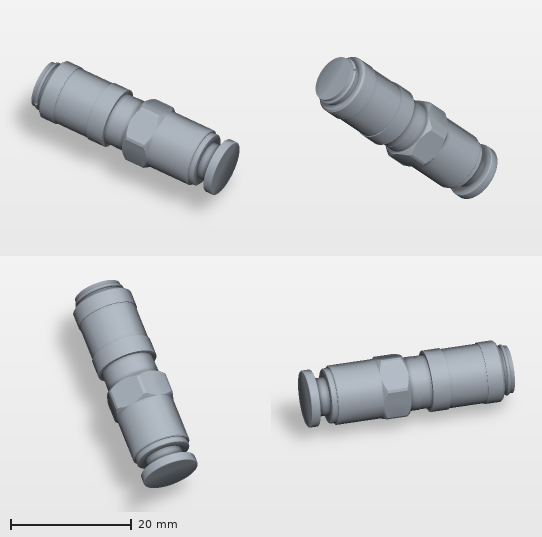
import cadquery as cq
import math

total_length = 35.05

spigot_d = 8.0
groove_d = 7.4
groove_start = 0.65
groove_end = 1.3

wire_d = 0.6
ring_center_x = groove_start + wire_d / 2
ring_gap = 0.3

sleeve_d = 10.35
sleeve_relief_d = 10.0
sleeve_chamfer = 0.3
sleeve_start = 1.95
relief_start = 4.87
relief_end = 11.32
sleeve_end = 14.25

neck_front_d = 8.9
neck_rear_d = 9.0
neck_step = 16.15

hex_across_flats = 10.0
hex_corner_d = 11.25
hex_end_d = 10.0
hex_tilt = -2.3
hex_start = 18.0
hex_end = 22.7
hex_chamfer = (hex_corner_d - hex_end_d) / 2

barrel_d = 10.0
barrel_chamfer = 0.15
barrel_end = 30.53
collar_d = 9.25
collar_chamfer = 0.1
collar_end = 31.47

stem_d = 6.4
flange_d = 9.6
flange_fillet = 0.18
flange_start = 33.5


def cylinder(diameter, start, end):
    """Cylinder on the X axis from start to end."""
    return cq.Workplane("YZ").workplane(offset=start).circle(diameter / 2).extrude(end - start)


def make_spigot():
    """Inlet spigot with a square groove that the snap ring sits in."""
    groove = cylinder(spigot_d, groove_start, groove_end).cut(cylinder(groove_d, groove_start, groove_end))
    return cylinder(spigot_d, 0, sleeve_start).cut(groove)


def make_sleeve():
    """Sleeve with a chamfered inlet edge and a relieved middle band."""
    front_band = cylinder(sleeve_d, sleeve_start, relief_start).faces("<X").chamfer(sleeve_chamfer)
    relief = cylinder(sleeve_relief_d, relief_start, relief_end)
    rear_band = cylinder(sleeve_d, relief_end, sleeve_end)
    return front_band.union(relief).union(rear_band)


def make_neck():
    """Neck in two slightly different diameters."""
    front = cylinder(neck_front_d, sleeve_end, neck_step)
    rear = cylinder(neck_rear_d, neck_step, hex_start)
    return front.union(rear)


def make_hexagon():
    """Hexagon with corners up and down, trimmed by a chamfered cylinder."""
    full_corner_d = hex_across_flats / math.cos(math.radians(30))
    prism = (
        cq.Workplane("YZ")
        .workplane(offset=hex_start)
        .transformed(rotate=(0, 0, 90 + hex_tilt))
        .polygon(6, full_corner_d)
        .extrude(hex_end - hex_start)
    )
    envelope = cylinder(hex_corner_d, hex_start, hex_end).faces("<X or >X").chamfer(hex_chamfer)
    return prism.intersect(envelope)


def make_barrel():
    """Rear barrel with a chamfered shoulder and a smaller end collar."""
    barrel = cylinder(barrel_d, hex_end, barrel_end).faces(">X").chamfer(barrel_chamfer)
    collar = cylinder(collar_d, barrel_end, collar_end).faces(">X").chamfer(collar_chamfer)
    return barrel.union(collar)


def make_button():
    """Release button: a stem carrying a rounded flange."""
    stem = cylinder(stem_d, collar_end, flange_start)
    flange = cylinder(flange_d, flange_start, total_length).edges().fillet(flange_fillet)
    return stem.union(flange)


def make_coupling():
    """Coupling body, all turned sections joined end to end."""
    coupling = make_spigot()
    for section in (make_sleeve(), make_neck(), make_hexagon(), make_barrel(), make_button()):
        coupling = coupling.union(section)
    return coupling


def make_snap_ring():
    """Round-wire ring seated on the groove floor, with its gap at -Y."""
    ring_radius = (groove_d + wire_d) / 2
    ring = (
        cq.Workplane("XY")
        .center(ring_center_x, ring_radius)
        .circle(wire_d / 2)
        .revolve(360, (-0.35, -ring_radius), (0.35, -ring_radius))
    )
    gap = cq.Workplane("XY").box(2 * wire_d, 2 * wire_d, ring_gap)
    return ring.cut(gap.translate((ring_center_x, -ring_radius, 0)))


coupling = make_coupling()
snap_ring = make_snap_ring()

result = cq.Compound.makeCompound([coupling.val(), snap_ring.val()])